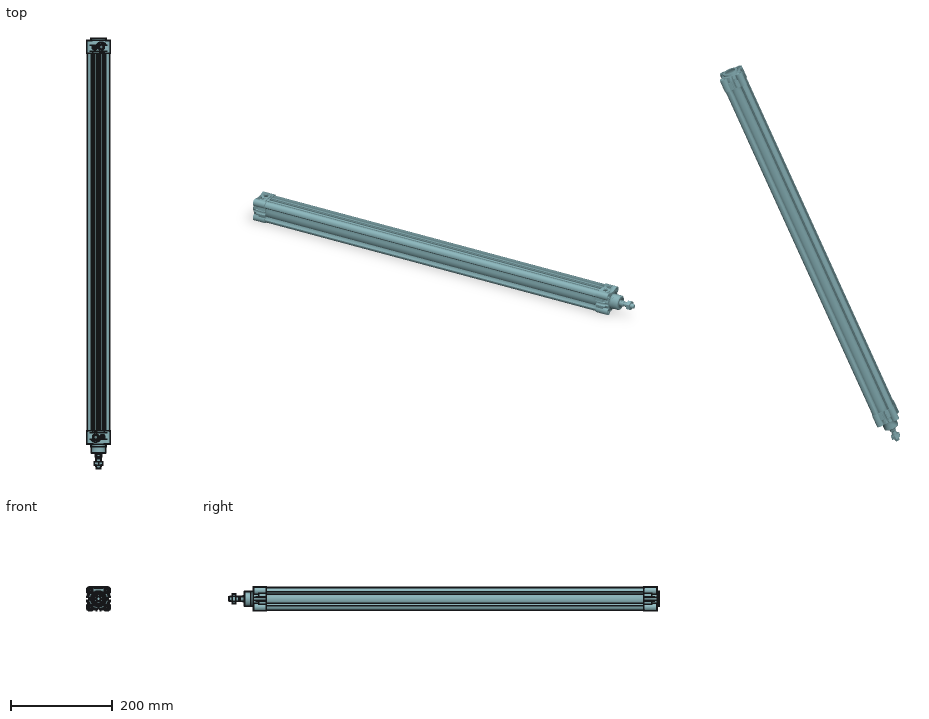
import cadquery as cq
import math


body_length = 794.0
cap_width = 47.0
cap_length = 26.0
barrel_width = 45.0
bore_diameter = 32.0
screw_pitch = 32.5

collar_diameter = 30.0
collar_neck_diameter = 29.4
collar_base_length = 5.0
collar_length = 18.0
collar_chamfer = 1.4
rear_collar_length = 4.0
rear_recess_diameter = 22.0
rear_recess_depth = 2.0
seal_diameter = 22.0
seal_recess_depth = 1.0

rod_diameter = 12.0
rod_end = 26.0
flat_length = 6.0
flat_width = 10.0
thread_diameter = 10.0
thread_length = 22.0
thread_relief_length = 2.5
thread_relief_diameter = 7.99
thread_tip_diameter = 7.99
thread_tip_length = 4.5
rod_chamfer = 0.9
nut_width = 17.0
nut_thickness = 7.0
nut_start = 34.3

seat_diameter = 10.3
seat_depth = 1.0
screw_hole_diameter = 4.92
screw_hole_depth = 16.0
screw_lead_in_diameter = 6.2

pad_length = 15.0
pad_root_half_width = 10.5
pad_root_height = 21.2
pad_crown_half_width = 4.5
pad_crown_height = 22.0

hub_diameter = 40.0
valley_floor = 20.5

groove_diameter = 6.2
groove_floor = 18.0
rib_thickness = 1.4
rib_length = 20.0

port_x = -5.5
port_diameter = 8.57
port_depth = 7.5
port_seat_diameter = 12.0
port_seat_depth = 0.5
port_boss_diameter = 19.0
top_flat_start = 4.0
top_flat_length = 12.0
fitting_from_barrel = 12.5
cushion_x = 7.5
cushion_seat_diameter = 10.3
cushion_seat_depth = 0.5
cushion_bore_diameter = 7.0
cushion_bore_depth = 2.0
cushion_screw_diameter = 3.5
cushion_screw_depth = 2.0

lobe_edge = 14.0
flank_foot = 9.0
tube_radius = 19.5
top_pad_half_width = 8.0
top_pad_height = 21.5
top_ledge_half_width = 11.6
top_ledge_height = 20.0
sensor_slot_width = 8.0
sensor_slot_depth = 1.5
sensor_groove_width = 3.5
sensor_groove_depth = 3.0

half_cap = cap_width / 2
half_barrel = barrel_width / 2
screw_offset = screw_pitch / 2
lobe_radius = half_cap - screw_offset
barrel_corner_radius = half_barrel - lobe_edge
barrel_length = body_length - 2 * cap_length
barrel_end = cap_length + barrel_length
rod_tip = rod_end + thread_length
rib_outer_half_width = groove_diameter / 2 + rib_thickness
outer_half_length = cap_length - pad_length
fitting_y = cap_length - fitting_from_barrel


def section_plane(y):
    """XZ plane at the given Y; sketches on it extrude toward -Y."""
    return cq.Workplane("XZ", origin=(0, y, 0))


def disc(diameter, start, end):
    """Cylinder on the Y axis between two Y positions."""
    return section_plane(end).circle(diameter / 2).extrude(end - start)


def on_sides(shape, angles):
    """Copies of a shape made for the top side, turned about Y to the given angles."""
    return [shape.rotate((0, 0, 0), (0, 1, 0), angle) for angle in angles]


def vertical_cylinder(x, y, diameter, bottom, top):
    return cq.Workplane("XY", origin=(x, y, bottom)).circle(diameter / 2).extrude(top - bottom)


def corner_lobes(start, end):
    """Round columns along Y, one around each corner screw."""
    return (
        section_plane(end)
        .rect(screw_pitch, screw_pitch, forConstruction=True)
        .vertices()
        .circle(lobe_radius)
        .extrude(end - start)
    )


def make_outer_half():
    """Half with the mounting face: lobes, round hub, and a valley tangent to the two upper lobes."""
    half = disc(hub_diameter, 0, outer_half_length).union(corner_lobes(0, outer_half_length))
    core = section_plane(outer_half_length).rect(screw_pitch, screw_pitch).extrude(outer_half_length)
    half = half.union(core)
    rise = valley_floor - screw_offset
    valley_radius = (screw_offset**2 + rise**2 - lobe_radius**2) / (2 * (lobe_radius - rise))
    lobe_share = lobe_radius / (valley_radius + lobe_radius)
    touch_x = screw_offset * (1 - lobe_share)
    touch_z = screw_offset + (valley_radius + rise) * lobe_share
    valley = (
        section_plane(outer_half_length)
        .moveTo(-touch_x, touch_z)
        .threePointArc((0, valley_floor), (touch_x, touch_z))
        .lineTo(screw_offset, screw_offset)
        .lineTo(-screw_offset, screw_offset)
        .close()
        .extrude(outer_half_length)
    )
    return half.union(valley)


def make_inner_half():
    """Half next to the barrel: lobes joined by low crowned pads on all four sides."""
    half = corner_lobes(outer_half_length, cap_length)
    pad = (
        section_plane(cap_length)
        .moveTo(0, 0)
        .lineTo(pad_root_height, pad_root_height)
        .lineTo(pad_root_half_width, pad_root_height)
        .lineTo(pad_crown_half_width, pad_crown_height)
        .lineTo(-pad_crown_half_width, pad_crown_height)
        .lineTo(-pad_root_half_width, pad_root_height)
        .lineTo(-pad_root_height, pad_root_height)
        .close()
        .extrude(pad_length)
    )
    for side_pad in on_sides(pad, (0, 90, 180, 270)):
        half = half.union(side_pad)
    return half


def rib_block():
    """Block on the top side from which the groove leaves two ribs."""
    bottom = hub_diameter / 2 - groove_diameter / 2
    return (
        section_plane(cap_length)
        .center(0, (bottom + half_cap) / 2)
        .rect(2 * rib_outer_half_width, half_cap - bottom)
        .extrude(rib_length)
    )


def side_groove():
    """Round-bottomed groove along the whole cap, open to the top."""
    radius = groove_diameter / 2
    axis_z = groove_floor + radius
    return (
        section_plane(cap_length)
        .moveTo(-radius, half_cap)
        .lineTo(-radius, axis_z)
        .threePointArc((0, groove_floor), (radius, axis_z))
        .lineTo(radius, half_cap)
        .close()
        .extrude(cap_length)
    )


def add_top_fittings(cap):
    """Flat joining the upper lobes, round port boss, and the holes of port and cushion screw."""
    flat = cq.Workplane("XY").box(
        screw_pitch, top_flat_length, half_cap - screw_offset, centered=(True, False, False)
    )
    flat_y = cap_length - top_flat_start - top_flat_length
    cap = cap.union(flat.translate((0, flat_y, screw_offset)))
    cap = cap.union(vertical_cylinder(port_x, fitting_y, port_boss_diameter, screw_offset, half_cap))

    cushion_floor = half_cap - cushion_bore_depth
    cuts = [
        (port_x, port_diameter, half_cap - port_depth),
        (port_x, port_seat_diameter, half_cap - port_seat_depth),
        (cushion_x, cushion_seat_diameter, half_cap - cushion_seat_depth),
        (cushion_x, cushion_bore_diameter, cushion_floor),
        (cushion_x, cushion_screw_diameter, cushion_floor - cushion_screw_depth),
    ]
    for x, diameter, bottom in cuts:
        cap = cap.cut(vertical_cylinder(x, fitting_y, diameter, bottom, half_cap))
    return cap


def cut_screw_seats(cap):
    """Seat, threaded hole and lead-in at each corner of the outer face."""
    lead_in = (screw_lead_in_diameter - screw_hole_diameter) / 2
    for x in (-screw_offset, screw_offset):
        for z in (-screw_offset, screw_offset):
            seat = disc(seat_diameter, 0, seat_depth)
            hole = disc(screw_hole_diameter, 0, screw_hole_depth)
            cone = disc(screw_lead_in_diameter, 0, seat_depth + lead_in).faces(">Y").chamfer(lead_in)
            cap = cap.cut(seat.union(hole).union(cone).translate((x, 0, z)))
    return cap


def make_cap_block():
    """Cap without its collar: outer face at Y = 0, barrel side at Y = cap_length."""
    cap = make_outer_half().union(make_inner_half())
    grooved_sides = (90, 180, 270)
    for block in on_sides(rib_block(), grooved_sides):
        cap = cap.union(block)
    for groove in on_sides(side_groove(), grooved_sides):
        cap = cap.cut(groove)
    cap = add_top_fittings(cap)
    return cut_screw_seats(cap)


def make_front_cap():
    collar = disc(collar_neck_diameter, -collar_length, 0).faces("<Y").chamfer(collar_chamfer)
    base = disc(collar_diameter, -collar_base_length, 0)
    seal = disc(seal_diameter, -collar_length, seal_recess_depth - collar_length)
    rod_hole = disc(rod_diameter, -collar_length, cap_length)
    return make_cap_block().union(collar).union(base).cut(seal).cut(rod_hole)


def make_rear_cap():
    collar = disc(collar_diameter, -rear_collar_length, 0)
    recess = disc(rear_recess_diameter, -rear_collar_length, rear_recess_depth - rear_collar_length)
    cap = make_cap_block().union(collar).cut(recess)
    return cap.rotate((0, 0, 0), (0, 0, 1), 180).translate((0, body_length, 0))


def barrel_side_relief():
    """Hollow between two corner lobes: slanted flanks down to the round tube wall."""
    foot_z = math.sqrt(tube_radius**2 - flank_foot**2)
    return (
        section_plane(barrel_end)
        .moveTo(-lobe_edge, half_barrel)
        .lineTo(-flank_foot, foot_z)
        .threePointArc((0, tube_radius), (flank_foot, foot_z))
        .lineTo(lobe_edge, half_barrel)
        .close()
        .extrude(barrel_length)
    )


def top_strip(width, bottom, top):
    """Bar along the whole barrel, centred on its top side."""
    return (
        section_plane(barrel_end)
        .center(0, (bottom + top) / 2)
        .rect(width, top - bottom)
        .extrude(barrel_length)
    )


def make_barrel():
    barrel = section_plane(barrel_end).rect(barrel_width, barrel_width).extrude(barrel_length)
    barrel = barrel.edges("|Y").fillet(barrel_corner_radius)
    for relief in on_sides(barrel_side_relief(), (0, 90, 180, 270)):
        barrel = barrel.cut(relief)
    barrel = barrel.union(top_strip(2 * top_ledge_half_width, screw_offset, top_ledge_height))
    barrel = barrel.union(top_strip(2 * top_pad_half_width, screw_offset, top_pad_height))
    slot_bottom = top_pad_height - sensor_slot_depth
    groove_bottom = top_pad_height - sensor_groove_depth
    barrel = barrel.cut(top_strip(sensor_slot_width, slot_bottom, top_pad_height))
    barrel = barrel.cut(top_strip(sensor_groove_width, groove_bottom, top_pad_height))
    return barrel.cut(disc(bore_diameter, cap_length, barrel_end))


def make_rod():
    """Rod through the bore up to the rear cap, with wrench flats on top and bottom, and a threaded end."""
    rod = disc(rod_diameter, -rod_end, barrel_end)
    flat_middle_y = flat_length / 2 - rod_end
    for side in (-1, 1):
        waste = cq.Workplane("XY").box(rod_diameter, flat_length, rod_diameter)
        rod = rod.cut(waste.translate((0, flat_middle_y, side * (flat_width + rod_diameter) / 2)))
    rod = rod.faces("<Y").chamfer(rod_chamfer)
    thread_start = rod_end + thread_relief_length
    tip_start = rod_tip - thread_tip_length
    relief = disc(thread_relief_diameter, -thread_start, -rod_end)
    thread = disc(thread_diameter, -tip_start, -thread_start)
    tip = (
        section_plane(-tip_start)
        .circle(thread_diameter / 2)
        .workplane(offset=thread_tip_length)
        .circle(thread_tip_diameter / 2)
        .loft()
    )
    return rod.union(relief).union(thread).union(tip)


def make_nut():
    """Hexagon nut with a corner pointing up."""
    corner_diameter = nut_width / math.cos(math.pi / 6)
    nut = section_plane(-nut_start).polygon(6, corner_diameter).extrude(nut_thickness)
    nut = nut.rotate((0, 0, 0), (0, 1, 0), 90)
    return nut.cut(disc(thread_diameter, -nut_start - nut_thickness, -nut_start))


barrel = make_barrel()
front_cap = make_front_cap()
rear_cap = make_rear_cap()
rod = make_rod()
nut = make_nut()

result = cq.Compound.makeCompound(
    [barrel.val(), front_cap.val(), rear_cap.val(), rod.val(), nut.val()]
)